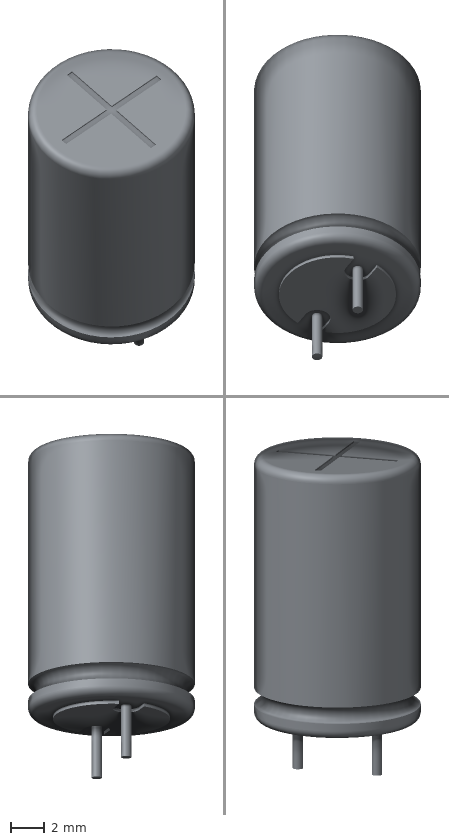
import cadquery as cq

total_height = 19.51
can_diameter = 10.0
can_radius = can_diameter / 2
can_bottom = 3.2
edge_radius = 0.5

groove_radius = 0.5
groove_center_z = 4.68

bung_radius = 3.51
bung_thickness = 0.2
notch_width = 1.6

lead_diameter = 0.62
lead_spacing = 5.0
lead_embed = 0.2

cross_length = 7.6
cross_width = 0.4
cross_depth = 0.1


def make_can():
    can = (
        cq.Workplane("XY", origin=(0, 0, can_bottom))
        .circle(can_radius)
        .extrude(total_height - can_bottom)
        .edges()
        .fillet(edge_radius)
    )
    groove = cq.Workplane(
        obj=cq.Solid.makeTorus(can_radius, groove_radius, cq.Vector(0, 0, groove_center_z))
    )
    return can.cut(groove)


def make_cross():
    top = cq.Workplane("XY", origin=(0, 0, total_height))
    arm_along_x = top.rect(cross_length, cross_width).extrude(-cross_depth)
    arm_along_y = top.rect(cross_width, cross_length).extrude(-cross_depth)
    return arm_along_x.union(arm_along_y)


def make_bung():
    base = cq.Workplane("XY", origin=(0, 0, can_bottom))
    disc = base.circle(bung_radius).extrude(-bung_thickness)
    notch_length = 2 * bung_radius
    notch_offset = (lead_spacing + notch_length - notch_width) / 2
    notches = (
        base.pushPoints([(-notch_offset, 0), (notch_offset, 0)])
        .slot2D(notch_length, notch_width)
        .extrude(-bung_thickness)
    )
    return disc.cut(notches)


def make_leads():
    return (
        cq.Workplane("XY")
        .pushPoints([(-lead_spacing / 2, 0), (lead_spacing / 2, 0)])
        .circle(lead_diameter / 2)
        .extrude(can_bottom + lead_embed)
    )


result = make_can().cut(make_cross()).union(make_bung()).union(make_leads())